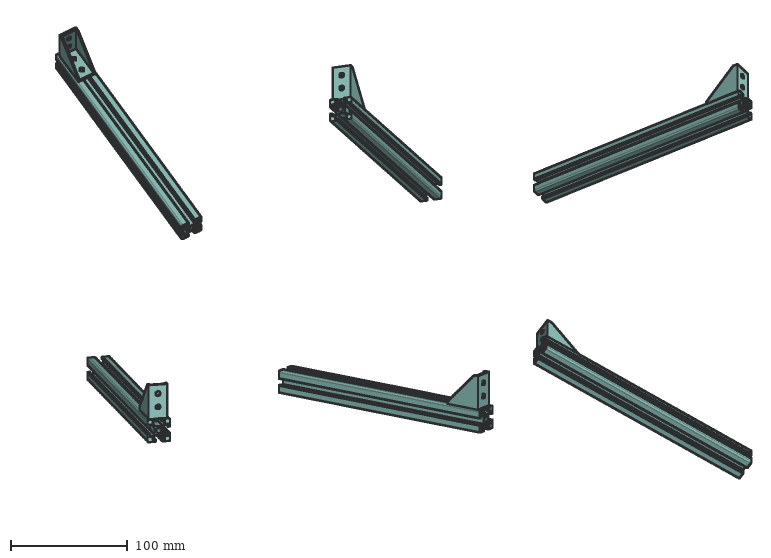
import cadquery as cq

RAIL_LENGTH = 210.0
RAIL_SIZE = 20.0
CORNER_RADIUS = 1.5
CORE_SIZE = 8.0
BORE_DIAMETER = 5.0
SLOT_OPENING = 5.5
LIP_THICKNESS = 1.9
LIP_CHAMFER = 0.6
CAVITY_WIDTH = 11.0
RIB_THICKNESS = 1.0

BRACKET_OFFSET_X = 2.3
BRACKET_OFFSET_Y = 0.2
BRACKET_LENGTH = 32.1
BRACKET_WIDTH = 16.5
BRACKET_HEIGHT = 30.0
UPRIGHT_THICKNESS = 2.3
FLOOR_THICKNESS = 2.3
SIDE_WALL = 1.3
TOP_FLAT = 4.5
SCREW_HOLE_DIAMETER = 4.0
FLOOR_HOLE_POSITIONS = (10.5, 23.7)
UPRIGHT_HOLE_POSITIONS = (10.3, 22.0)


def make_slot():
    """Undercut slot that opens at the top face of the rail."""
    top = RAIL_SIZE / 2
    lip_underside = top - LIP_THICKNESS
    half_opening = SLOT_OPENING / 2
    half_cavity = CAVITY_WIDTH / 2
    half_core = CORE_SIZE / 2
    rib_shift = RIB_THICKNESS / 2 * 2**0.5
    right_side = [
        (half_core - rib_shift, half_core),
        (half_cavity, half_cavity + rib_shift),
        (half_cavity, lip_underside),
        (half_opening, lip_underside),
        (half_opening, top - LIP_CHAMFER),
        (half_opening + LIP_CHAMFER, top),
    ]
    left_side = [(-y, z) for y, z in reversed(right_side)]
    return cq.Workplane("YZ").polyline(right_side + left_side).close().extrude(RAIL_LENGTH)


def make_rail():
    rail = cq.Workplane("YZ").rect(RAIL_SIZE, RAIL_SIZE).extrude(RAIL_LENGTH)
    rail = rail.edges("|X").fillet(CORNER_RADIUS)
    slot = make_slot()
    for angle in (0, 90, 180, 270):
        rail = rail.cut(slot.rotate((0, 0, 0), (1, 0, 0), angle))
    bore = cq.Workplane("YZ").circle(BORE_DIAMETER / 2).extrude(RAIL_LENGTH)
    return rail.cut(bore)


def make_bracket():
    """Gusseted bracket with its heel at the origin, centred on Y = 0."""
    side_outline = [
        (0, 0),
        (BRACKET_LENGTH, 0),
        (BRACKET_LENGTH, FLOOR_THICKNESS),
        (TOP_FLAT, BRACKET_HEIGHT),
        (0, BRACKET_HEIGHT),
    ]
    bracket = cq.Workplane("XZ").polyline(side_outline).close().extrude(BRACKET_WIDTH / 2, both=True)

    pocket = cq.Workplane("XY").box(
        BRACKET_LENGTH - UPRIGHT_THICKNESS,
        BRACKET_WIDTH - 2 * SIDE_WALL,
        BRACKET_HEIGHT - FLOOR_THICKNESS,
        centered=(False, True, False),
    )
    bracket = bracket.cut(pocket.translate((UPRIGHT_THICKNESS, 0, FLOOR_THICKNESS)))

    for x in FLOOR_HOLE_POSITIONS:
        hole = cq.Workplane("XY").center(x, 0).circle(SCREW_HOLE_DIAMETER / 2)
        bracket = bracket.cut(hole.extrude(FLOOR_THICKNESS))
    for z in UPRIGHT_HOLE_POSITIONS:
        hole = cq.Workplane("YZ").center(0, z).circle(SCREW_HOLE_DIAMETER / 2)
        bracket = bracket.cut(hole.extrude(UPRIGHT_THICKNESS))
    return bracket


rail = make_rail()
bracket = make_bracket().translate((BRACKET_OFFSET_X, BRACKET_OFFSET_Y, RAIL_SIZE / 2))
result = cq.Compound.makeCompound([rail.val(), bracket.val()])